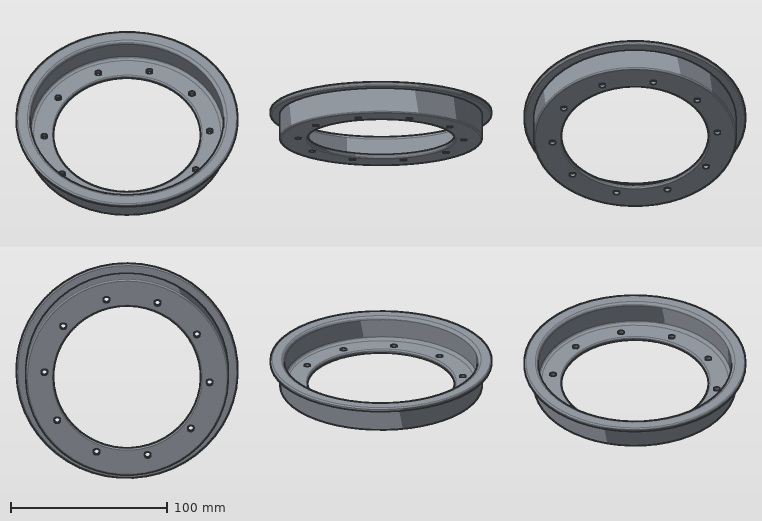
import cadquery as cq

flange_radius = 71.0
body_radius = 64.9
bore_radius = 47.0
total_height = 19.0
thickness = 3.0
edge_fillet = 1.0
inner_fillet = 2.0
hole_count = 10
hole_diameter = 4.0
hole_circle_radius = 53.0

wall_inner_radius = body_radius - thickness
flange_bottom = total_height - thickness
hole_margin = 1.4


def cylinder(radius, bottom, top):
    """Solid cylinder about the Z axis between two heights."""
    return cq.Workplane("XY").workplane(offset=bottom).circle(radius).extrude(top - bottom)


def round_circle(body, radius, height, fillet):
    """Fillet the circular edge with the given radius and height."""
    reach = 0.1
    box = cq.selectors.BoxSelector(
        (-radius - reach, -radius - reach, height - reach),
        (radius + reach, radius + reach, height + reach),
        boundingbox=True,
    )
    smallest_radius = radius - reach
    edges = [
        edge
        for edge in body.edges("%CIRCLE").edges(box).vals()
        if edge.radius() > smallest_radius
    ]
    return body.newObject(edges).fillet(fillet)


body = cylinder(body_radius, 0, total_height)
body = body.union(cylinder(flange_radius, flange_bottom, total_height))
body = body.cut(cylinder(wall_inner_radius, thickness, total_height))
body = body.cut(cylinder(bore_radius, 0, thickness))

body = round_circle(body, flange_radius, total_height, edge_fillet)
body = round_circle(body, flange_radius, flange_bottom, edge_fillet)
body = round_circle(body, body_radius, 0, edge_fillet)
body = round_circle(body, bore_radius, thickness, edge_fillet)
body = round_circle(body, bore_radius, 0, edge_fillet)

body = round_circle(body, wall_inner_radius, total_height, inner_fillet)
body = round_circle(body, wall_inner_radius, thickness, inner_fillet)

holes = (
    cq.Workplane("XY")
    .workplane(offset=-hole_margin)
    .polarArray(hole_circle_radius, 0, 360, hole_count)
    .circle(hole_diameter / 2)
    .extrude(thickness + 2 * hole_margin)
)
result = body.cut(holes)